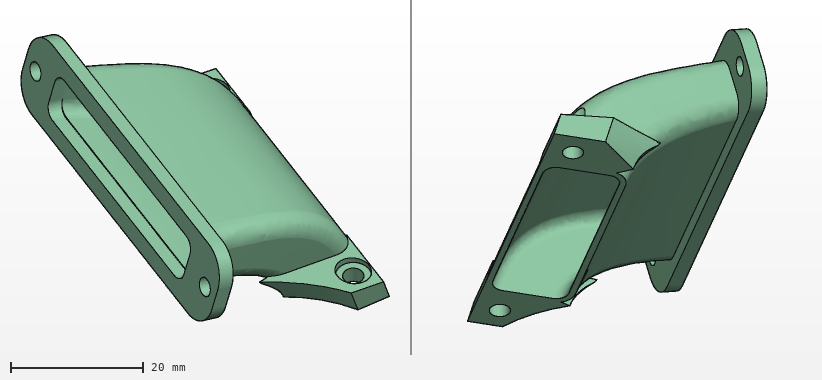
import cadquery as cq
import math

WALL = 1.0
LEAN_DEG = 15.0
LEAN_SIN = math.sin(math.radians(LEAN_DEG))
LEAN_COS = math.cos(math.radians(LEAN_DEG))
OVERLAP = 1.0

FLANGE_LENGTH = 57.0
FLANGE_HEIGHT = 14.0
FLANGE_THICKNESS = 2.5
FLANGE_RADIUS = 5.0
FLANGE_HOLE_DIAMETER = 3.0
FLANGE_HOLE_SPACING = 51.0
INLET_LENGTH = 40.7
INLET_HEIGHT = 8.0
INLET_RADIUS = 2.0
INLET_OFFSET_X = -0.25
PART_DEPTH = 32.28
PART_HEIGHT = 22.69

FLANGE_FRONT_Y = -PART_DEPTH + FLANGE_HEIGHT / 2 * LEAN_SIN
FLANGE_FRONT_Z = PART_HEIGHT - FLANGE_HEIGHT / 2 * LEAN_COS
FLANGE_BACK_Y = FLANGE_FRONT_Y + FLANGE_THICKNESS * LEAN_COS
FLANGE_BACK_Z = FLANGE_FRONT_Z - FLANGE_THICKNESS * LEAN_SIN

DUCT_RADIUS = INLET_RADIUS + WALL
DUCT_INLET_HEIGHT = 10.3
DUCT_INLET_LEFT = INLET_OFFSET_X - INLET_LENGTH / 2 - WALL
DUCT_INLET_RIGHT = INLET_OFFSET_X + INLET_LENGTH / 2 + WALL
DUCT_OUTLET_LEFT = -14.7
DUCT_OUTLET_RIGHT = 20.4
DUCT_OUTLET_DEPTH = 13.9
ROOF_PULLS = (15.0, 14.6)
FLOOR_PULLS = (4.6, 8.4)
SECTION_COUNT = 9

EAR_LEFT = -22.0
EAR_RIGHT = 28.5
EAR_LEFT_TIP = -16.2
EAR_RIGHT_TIP = 20.6
EAR_BACK_HEIGHT = 3.72
EAR_SLOPE = math.tan(math.radians(6.0))
EAR_LOFT_HEIGHT = 6.5
EAR_LEFT_DEPTH = 8.0
EAR_RIGHT_DEPTH = 5.5
EAR_FRONT_REACH = 4.9
EAR_FRONT_BOW = 0.7
EAR_HOLE_INSET_X = 4.0
EAR_HOLE_Y = -4.0
EAR_HOLE_DIAMETER = 3.2
COUNTERBORE_DIAMETER = 5.5
COUNTERBORE_FLOOR_Z = 3.0


def bezier(start, start_handle, end_handle, end, t):
    """Point of a cubic Bezier curve in the YZ plane."""
    s = 1 - t
    weights = (s**3, 3 * s * s * t, 3 * s * t * t, t**3)
    points = (start, start_handle, end_handle, end)
    return tuple(sum(w * p[axis] for w, p in zip(weights, points)) for axis in (0, 1))


def duct_side(outlet_y, flange_offset, pulls, t):
    """Roof or floor of the duct: leaves the outlet leaning and meets the flange square."""
    start = (outlet_y, 0.0)
    end = (FLANGE_BACK_Y + flange_offset * LEAN_SIN, FLANGE_BACK_Z + flange_offset * LEAN_COS)
    start_handle = (start[0] - pulls[0] * LEAN_SIN, pulls[0] * LEAN_COS)
    end_handle = (end[0] + pulls[1] * LEAN_COS, end[1] - pulls[1] * LEAN_SIN)
    return bezier(start, start_handle, end_handle, end, t)


def duct_roof(t):
    return duct_side(0.0, DUCT_INLET_HEIGHT / 2, ROOF_PULLS, t)


def duct_floor(t):
    return duct_side(-DUCT_OUTLET_DEPTH, -DUCT_INLET_HEIGHT / 2, FLOOR_PULLS, t)


def duct_section(t, inset):
    """Rounded rectangle across the duct, shrunk by inset on every side."""
    roof = duct_roof(t)
    floor = duct_floor(t)
    left = DUCT_OUTLET_LEFT + (DUCT_INLET_LEFT - DUCT_OUTLET_LEFT) * t
    right = DUCT_OUTLET_RIGHT + (DUCT_INLET_RIGHT - DUCT_OUTLET_RIGHT) * t
    rise_y = roof[0] - floor[0]
    rise_z = roof[1] - floor[1]
    plane = cq.Plane(
        origin=((left + right) / 2, (roof[0] + floor[0]) / 2, (roof[1] + floor[1]) / 2),
        xDir=(1, 0, 0),
        normal=(0, -rise_z, rise_y),
    )
    width = right - left - 2 * inset
    height = math.hypot(rise_y, rise_z) - 2 * inset
    outline = cq.Sketch().rect(width, height).vertices().fillet(DUCT_RADIUS - inset)
    return outline.moved(cq.Location(plane))


def duct_loft(inset):
    sections = [duct_section(i / (SECTION_COUNT - 1), inset) for i in range(SECTION_COUNT)]
    return cq.Workplane().placeSketch(*sections).loft()


def flange_plane():
    """Front face of the flange, facing forward and tilted up."""
    return cq.Plane(
        origin=(0, FLANGE_FRONT_Y, FLANGE_FRONT_Z),
        xDir=(1, 0, 0),
        normal=(0, -LEAN_COS, LEAN_SIN),
    )


def make_flange():
    outline = cq.Sketch().rect(FLANGE_LENGTH, FLANGE_HEIGHT).vertices().fillet(FLANGE_RADIUS)
    holes = [(-FLANGE_HOLE_SPACING / 2, 0), (FLANGE_HOLE_SPACING / 2, 0)]
    flange = cq.Workplane(flange_plane()).placeSketch(outline).extrude(-FLANGE_THICKNESS)
    cutter = cq.Workplane(flange_plane()).pushPoints(holes).circle(FLANGE_HOLE_DIAMETER / 2)
    return flange.cut(cutter.extrude(-FLANGE_THICKNESS))


def make_inlet():
    opening = cq.Sketch().rect(INLET_LENGTH, INLET_HEIGHT).vertices().fillet(INLET_RADIUS)
    return (
        cq.Workplane(flange_plane())
        .center(INLET_OFFSET_X, 0)
        .placeSketch(opening)
        .extrude(-FLANGE_THICKNESS)
    )


def ear_outline(z, outer_x, outer_depth, tip_x, inner_x, bow):
    """Closed ear outline at height z, leaning forward as it rises."""
    shift = z * LEAN_SIN / LEAN_COS
    back_y = -shift
    outer_y = -outer_depth - shift
    tip_y = -DUCT_OUTLET_DEPTH - EAR_FRONT_REACH * z / EAR_LOFT_HEIGHT
    chord_x = tip_x - outer_x
    chord_y = tip_y - outer_y
    chord = math.hypot(chord_x, chord_y)
    middle = (
        (outer_x + tip_x) / 2 - bow * abs(chord_y) / chord * math.copysign(1, outer_x),
        (outer_y + tip_y) / 2 + bow * abs(chord_x) / chord,
    )
    outline = cq.Workplane(cq.Plane.XY(origin=(0, 0, z))).moveTo(inner_x, back_y).lineTo(outer_x, back_y)
    outline = outline.lineTo(outer_x, outer_y)
    if bow:
        outline = outline.threePointArc(middle, (tip_x, tip_y))
    else:
        outline = outline.lineTo(tip_x, tip_y)
    return outline.lineTo(inner_x, outer_y).close().val()


def ear_envelope():
    """Room for the ears: under their sloping top and behind the floor line of the duct."""
    floor_points = [duct_floor(i / (SECTION_COUNT - 1)) for i in range(SECTION_COUNT)]
    flange_y = floor_points[-1][0]
    top_front = (flange_y, EAR_BACK_HEIGHT - EAR_SLOPE * flange_y)
    below_top = (
        cq.Workplane("YZ", origin=(EAR_LEFT, 0, 0))
        .polyline([(0, 0), (0, EAR_BACK_HEIGHT), top_front, (flange_y, 0)])
        .close()
        .extrude(EAR_RIGHT - EAR_LEFT)
    )
    behind_floor = (
        cq.Workplane("YZ", origin=(EAR_LEFT, 0, 0))
        .moveTo(*floor_points[0])
        .spline(floor_points[1:], includeCurrent=True)
        .lineTo(0, floor_points[-1][1])
        .lineTo(0, 0)
        .close()
        .extrude(EAR_RIGHT - EAR_LEFT)
    )
    return below_top.intersect(behind_floor)


def make_ear(outer_x, outer_depth, tip_x, duct_x, bow):
    inner_x = duct_x - math.copysign(DUCT_RADIUS, outer_x)
    wires = [ear_outline(z, outer_x, outer_depth, tip_x, inner_x, bow) for z in (0, EAR_LOFT_HEIGHT)]
    block = cq.Workplane(cq.Solid.makeLoft(wires, True))
    return block.intersect(ear_envelope())


def ear_cutter(hole_x):
    """Screw hole and counterbore, with the counterbore carried up as screwdriver access."""
    hole = cq.Workplane(cq.Plane.XY(origin=(hole_x, EAR_HOLE_Y, -OVERLAP)))
    hole = hole.circle(EAR_HOLE_DIAMETER / 2).extrude(COUNTERBORE_FLOOR_Z + 2 * OVERLAP)
    access = cq.Workplane(cq.Plane.XY(origin=(hole_x, EAR_HOLE_Y, COUNTERBORE_FLOOR_Z)))
    return hole.union(access.circle(COUNTERBORE_DIAMETER / 2).extrude(PART_HEIGHT))


left_ear = make_ear(EAR_LEFT, EAR_LEFT_DEPTH, EAR_LEFT_TIP, DUCT_OUTLET_LEFT, 0.0)
right_ear = make_ear(EAR_RIGHT, EAR_RIGHT_DEPTH, EAR_RIGHT_TIP, DUCT_OUTLET_RIGHT, EAR_FRONT_BOW)
result = duct_loft(0.0).union(make_flange()).union(left_ear).union(right_ear)
result = result.cut(duct_loft(WALL)).cut(make_inlet())
for hole_x in (EAR_LEFT + EAR_HOLE_INSET_X, EAR_RIGHT - EAR_HOLE_INSET_X):
    result = result.cut(ear_cutter(hole_x))